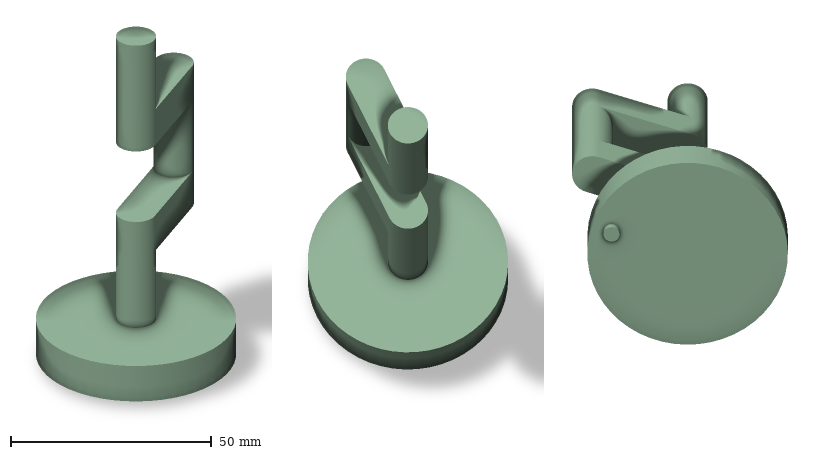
import cadquery as cq

base_diameter = 50.0
base_thickness = 10.0
rod_diameter = 10.0
throw = 25.0
web_thickness = 10.0
rod_length = 20.0
peg_diameter = 4.0
peg_length = 2.0
peg_offset = 20.0

lower_web_z = base_thickness + rod_length
crank_rod_z = lower_web_z + web_thickness
upper_web_z = crank_rod_z + rod_length
top_rod_z = upper_web_z + web_thickness


def cylinder(diameter, bottom, top, y=0):
    """Vertical cylinder between two heights, with its seam on the -X side."""
    blank = cq.Workplane("XY").circle(diameter / 2).extrude(top - bottom)
    return blank.rotate((0, 0, 0), (0, 0, 1), 180).translate((0, y, bottom))


def web(bottom):
    """Flat-sided arm spanning from the main axis to the crank rod axis."""
    return (
        cq.Workplane("XY")
        .box(rod_diameter, throw, web_thickness, centered=(True, False, False))
        .translate((0, 0, bottom))
    )


base = cylinder(base_diameter, 0, base_thickness)
peg = cylinder(peg_diameter, -peg_length, 0, peg_offset)

lower_rod = cylinder(rod_diameter, base_thickness, crank_rod_z)
crank_rod = cylinder(rod_diameter, lower_web_z, top_rod_z, throw)
upper_rod = cylinder(rod_diameter, upper_web_z, top_rod_z + rod_length)

result = base.union(peg)
for crank_piece in (lower_rod, web(lower_web_z), crank_rod, web(upper_web_z), upper_rod):
    result = result.union(crank_piece)